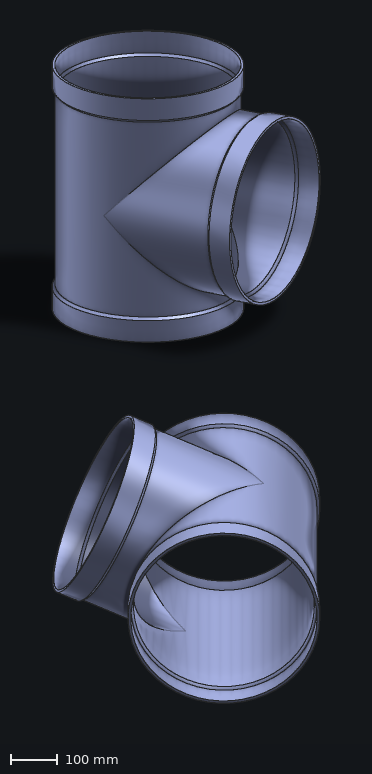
import cadquery as cq

height = 560.0
branch_reach = 309.5
socket_outer_dia = 412.0
pipe_outer_dia = 400.0
pipe_bore_dia = 388.0
socket_bore_dia = pipe_outer_dia
socket_length = 50.0

half_height = height / 2
socket_outer_radius = socket_outer_dia / 2
pipe_outer_radius = pipe_outer_dia / 2
pipe_bore_radius = pipe_bore_dia / 2
socket_bore_radius = socket_bore_dia / 2


def stepped_leg(pipe_radius, socket_radius, length):
    """Round solid along Z that steps at 45 degrees up to the socket radius near its end."""
    socket_start = length - socket_length
    taper_start = socket_start - (socket_radius - pipe_radius)
    return (
        cq.Workplane("XZ")
        .lineTo(pipe_radius, 0)
        .lineTo(pipe_radius, taper_start)
        .lineTo(socket_radius, socket_start)
        .lineTo(socket_radius, length)
        .lineTo(0, length)
        .close()
        .revolve(360, (0, 0, 0), (0, 1, 0))
    )


def stepped_run(pipe_radius, socket_radius):
    """Round solid along Z with the same socket step near both ends."""
    socket_start = half_height - socket_length
    taper_start = socket_start - (socket_radius - pipe_radius)
    return (
        cq.Workplane("XZ")
        .moveTo(0, -half_height)
        .lineTo(socket_radius, -half_height)
        .lineTo(socket_radius, -socket_start)
        .lineTo(pipe_radius, -taper_start)
        .lineTo(pipe_radius, taper_start)
        .lineTo(socket_radius, socket_start)
        .lineTo(socket_radius, half_height)
        .lineTo(0, half_height)
        .close()
        .revolve(360, (0, 0, 0), (0, 1, 0))
    )


def tee(pipe_radius, socket_radius):
    """Join the vertical run with one branch leg along +X."""
    run = stepped_run(pipe_radius, socket_radius)
    branch = stepped_leg(pipe_radius, socket_radius, branch_reach)
    return run.union(branch.rotate((0, 0, 0), (0, 1, 0), 90))


outside = tee(pipe_outer_radius, socket_outer_radius)
inside = tee(pipe_bore_radius, socket_bore_radius)

result = outside.cut(inside)